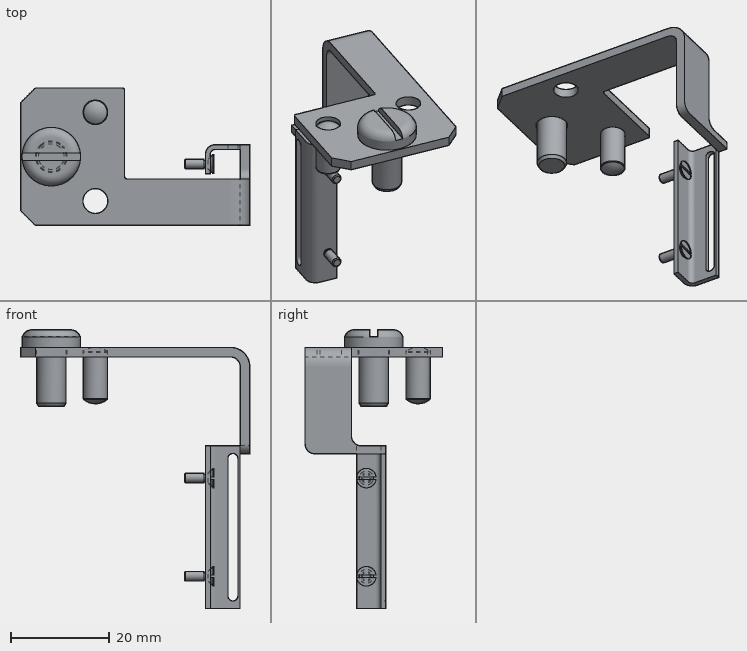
import cadquery as cq
import math


OVERALL_LENGTH = 46.65
OVERALL_HEIGHT = 56.75
PLATE_DEPTH = 28.0
PLATE_WIDTH = 21.15
SHEET = 2.0
BEND_INNER = SHEET
BEND_OUTER = BEND_INNER + SHEET
STRIP_DEPTH = 9.5
CORNER_CUT = 3.0
CORNER_RADIUS = 0.5
ARM_DROP = 21.7
ARM_RADIUS = 2.0
TAB_END_Y = 16.45
TAB_TOP_Z = -20.05

PLATE_MID_Y = PLATE_DEPTH / 2
PIN_X = 15.2
PIN_OFFSET = 9.0
PIN_DIAMETER = 5.0
SCREW_X = 6.25
SCREW_HOLE_DIAMETER = 6.4

PIN_LENGTH = 11.5
PIN_END_DIAMETER = 4.75
PIN_RIM = 0.2
PIN_DOME = 0.85

HEAD_DIAMETER = 11.9
HEAD_HEIGHT = 3.6
HEAD_SHOULDER = 2.05
HEAD_FLAT_DIAMETER = 7.95
HEAD_SLOT_WIDTH = 1.6
HEAD_SLOT_DEPTH = 1.4
SHANK_DIAMETER = 6.0
SHANK_LENGTH = 12.05
SHANK_TIP_HEIGHT = 0.7
SHANK_TIP_INSET = 0.4

ANGLE_LENGTH = OVERALL_HEIGHT - HEAD_HEIGHT + TAB_TOP_Z
ANGLE_SHEET = 1.0
ANGLE_LEG = 5.95
ANGLE_RADIUS = 2.05
ANGLE_X = 37.55
ANGLE_END_X = OVERALL_LENGTH - SHEET
ANGLE_MID_Z = TAB_TOP_Z - ANGLE_LENGTH / 2
ANGLE_SLOT_X = 43.2
ANGLE_SLOT_WIDTH = 2.0
ANGLE_SLOT_LENGTH = 29.95

STUD_Y = 12.5
STUD_SPACING = 20.0
STUD_HEIGHTS = [ANGLE_MID_Z + side * STUD_SPACING / 2 for side in (1, -1)]
STUD_DIAMETER = 2.0
STUD_NECK_DIAMETER = 1.55
STUD_TIP_X = 33.3
STUD_TIP_CHAMFER = (STUD_DIAMETER - STUD_NECK_DIAMETER) / 2
STUD_NECK_GAP = 0.3
STUD_HEAD_DIAMETER = 4.0
STUD_HEAD_PROUD = 0.75
STUD_HEAD_RIM = 0.15
STUD_SLOT_WIDTH = 0.5
STUD_SLOT_DEPTH = 0.7


def plate_hole(x, y, diameter):
    """Cutter through the plate thickness."""
    return cq.Workplane("XY").center(x, y).circle(diameter / 2).extrude(-SHEET)


def make_bracket():
    strip = (
        cq.Workplane("XZ")
        .lineTo(OVERALL_LENGTH, 0)
        .lineTo(OVERALL_LENGTH, -ARM_DROP)
        .lineTo(OVERALL_LENGTH - SHEET, -ARM_DROP)
        .lineTo(OVERALL_LENGTH - SHEET, -SHEET)
        .lineTo(0, -SHEET)
        .close()
        .extrude(-STRIP_DEPTH)
    )
    outer_edge = cq.selectors.NearestToPointSelector((OVERALL_LENGTH, STRIP_DEPTH / 2, 0))
    inner_edge = cq.selectors.NearestToPointSelector((OVERALL_LENGTH - SHEET, STRIP_DEPTH / 2, -SHEET))
    strip = strip.edges(outer_edge).fillet(BEND_OUTER)
    strip = strip.edges(inner_edge).fillet(BEND_INNER)

    plate = cq.Workplane("XY").box(PLATE_WIDTH, PLATE_DEPTH, SHEET, centered=False)
    plate = plate.translate((0, 0, -SHEET))
    tab = cq.Workplane("XY").box(SHEET, TAB_END_Y, ARM_DROP + TAB_TOP_Z, centered=False)
    tab = tab.translate((OVERALL_LENGTH - SHEET, 0, -ARM_DROP))
    bracket = strip.union(plate).union(tab).clean()

    bracket = bracket.edges("|Z and <X").chamfer(CORNER_CUT)
    for y in (PLATE_DEPTH, STRIP_DEPTH):
        corner = cq.selectors.NearestToPointSelector((PLATE_WIDTH, y, -SHEET / 2))
        bracket = bracket.edges(corner).fillet(CORNER_RADIUS)

    for y, z in ((0, -ARM_DROP), (STRIP_DEPTH, TAB_TOP_Z)):
        corner = cq.selectors.NearestToPointSelector((OVERALL_LENGTH - SHEET / 2, y, z))
        bracket = bracket.edges(corner).fillet(ARM_RADIUS)

    for y in (PLATE_MID_Y - PIN_OFFSET, PLATE_MID_Y + PIN_OFFSET):
        bracket = bracket.cut(plate_hole(PIN_X, y, PIN_DIAMETER))
    return bracket.cut(plate_hole(SCREW_X, PLATE_MID_Y, SCREW_HOLE_DIAMETER))


def make_pin():
    radius = PIN_DIAMETER / 2
    end_radius = PIN_END_DIAMETER / 2
    dome_radius = (end_radius**2 + PIN_DOME**2) / (2 * PIN_DOME)
    mid_radius = end_radius / 2
    mid_drop = dome_radius - math.sqrt(dome_radius**2 - mid_radius**2)
    profile = (
        cq.Workplane("XZ")
        .threePointArc((mid_radius, -mid_drop), (end_radius, -PIN_DOME))
        .lineTo(radius, -PIN_DOME - PIN_RIM)
        .lineTo(radius, -PIN_LENGTH + PIN_DOME + PIN_RIM)
        .lineTo(end_radius, -PIN_LENGTH + PIN_DOME)
        .threePointArc((mid_radius, -PIN_LENGTH + mid_drop), (0, -PIN_LENGTH))
        .close()
    )
    pin = profile.revolve(360, (0, 0, 0), (0, 1, 0))
    return pin.translate((PIN_X, PLATE_MID_Y + PIN_OFFSET, 0))


def make_screw():
    shank_radius = SHANK_DIAMETER / 2
    profile = (
        cq.Workplane("XZ")
        .moveTo(0, HEAD_HEIGHT)
        .lineTo(HEAD_FLAT_DIAMETER / 2, HEAD_HEIGHT)
        .tangentArcPoint((HEAD_DIAMETER / 2, HEAD_SHOULDER), relative=False)
        .lineTo(HEAD_DIAMETER / 2, 0)
        .lineTo(shank_radius, 0)
        .lineTo(shank_radius, -SHANK_LENGTH + SHANK_TIP_HEIGHT)
        .lineTo(shank_radius - SHANK_TIP_INSET, -SHANK_LENGTH)
        .lineTo(0, -SHANK_LENGTH)
        .close()
    )
    screw = profile.revolve(360, (0, 0, 0), (0, 1, 0))
    slot = (
        cq.Workplane("XY", origin=(0, 0, HEAD_HEIGHT))
        .rect(HEAD_DIAMETER, HEAD_SLOT_WIDTH)
        .extrude(-HEAD_SLOT_DEPTH)
    )
    return screw.cut(slot).translate((SCREW_X, PLATE_MID_Y, 0))


def make_stud(z):
    """Stud along X with its countersunk head on the inner side of the angle strip."""
    neck_radius = STUD_NECK_DIAMETER / 2
    shank_radius = STUD_DIAMETER / 2
    head_radius = STUD_HEAD_DIAMETER / 2
    head_x = ANGLE_X + ANGLE_SHEET + STUD_HEAD_PROUD
    rim_x = head_x - STUD_HEAD_RIM
    cone_x = rim_x - (head_radius - shank_radius)
    neck_x = ANGLE_X - STUD_NECK_GAP
    profile = (
        cq.Workplane("XY")
        .moveTo(STUD_TIP_X, 0)
        .lineTo(STUD_TIP_X, neck_radius)
        .lineTo(STUD_TIP_X + STUD_TIP_CHAMFER, shank_radius)
        .lineTo(neck_x, shank_radius)
        .lineTo(neck_x, neck_radius)
        .lineTo(ANGLE_X, neck_radius)
        .lineTo(ANGLE_X, shank_radius)
        .lineTo(cone_x, shank_radius)
        .lineTo(rim_x, head_radius)
        .lineTo(head_x, head_radius)
        .lineTo(head_x, 0)
        .close()
    )
    stud = profile.revolve(360, (0, 0, 0), (1, 0, 0))
    slot = cq.Workplane("XY").box(
        STUD_SLOT_DEPTH, STUD_HEAD_DIAMETER, STUD_SLOT_WIDTH, centered=(False, True, True)
    )
    stud = stud.cut(slot.translate((head_x - STUD_SLOT_DEPTH, 0, 0)))
    return stud.translate((0, STUD_Y, z))


def make_stud_hole(z):
    """Cutter for the countersunk hole that fits a stud."""
    shank_radius = STUD_DIAMETER / 2
    inner_x = ANGLE_X + ANGLE_SHEET
    head_reach = (STUD_HEAD_DIAMETER - STUD_DIAMETER) / 2 + STUD_HEAD_RIM
    sink_depth = head_reach - STUD_HEAD_PROUD
    profile = (
        cq.Workplane("XY")
        .moveTo(ANGLE_X, 0)
        .lineTo(ANGLE_X, shank_radius)
        .lineTo(inner_x - sink_depth, shank_radius)
        .lineTo(inner_x, shank_radius + sink_depth)
        .lineTo(inner_x, 0)
        .close()
    )
    return profile.revolve(360, (0, 0, 0), (1, 0, 0)).translate((0, STUD_Y, z))


def make_angle():
    leg_end_y = TAB_END_Y - ANGLE_LEG
    angle = (
        cq.Workplane("XY", origin=(0, 0, TAB_TOP_Z))
        .moveTo(ANGLE_X, leg_end_y)
        .lineTo(ANGLE_X, TAB_END_Y - ANGLE_RADIUS)
        .radiusArc((ANGLE_X + ANGLE_RADIUS, TAB_END_Y), ANGLE_RADIUS)
        .lineTo(ANGLE_END_X, TAB_END_Y)
        .lineTo(ANGLE_END_X, TAB_END_Y - ANGLE_SHEET)
        .lineTo(ANGLE_X + ANGLE_RADIUS, TAB_END_Y - ANGLE_SHEET)
        .radiusArc((ANGLE_X + ANGLE_SHEET, TAB_END_Y - ANGLE_RADIUS), -(ANGLE_RADIUS - ANGLE_SHEET))
        .lineTo(ANGLE_X + ANGLE_SHEET, leg_end_y)
        .close()
        .extrude(-ANGLE_LENGTH)
    )
    slot = (
        cq.Workplane("XZ", origin=(ANGLE_SLOT_X, TAB_END_Y, ANGLE_MID_Z))
        .slot2D(ANGLE_SLOT_LENGTH, ANGLE_SLOT_WIDTH, 90)
        .extrude(ANGLE_SHEET)
    )
    angle = angle.cut(slot)
    for z in STUD_HEIGHTS:
        angle = angle.cut(make_stud_hole(z))
    return angle


bracket = make_bracket()
pin = make_pin()
screw = make_screw()
angle = make_angle()
studs = [make_stud(z) for z in STUD_HEIGHTS]

result = cq.Compound.makeCompound(
    [bracket.val(), pin.val(), screw.val(), angle.val(), *[stud.val() for stud in studs]]
)